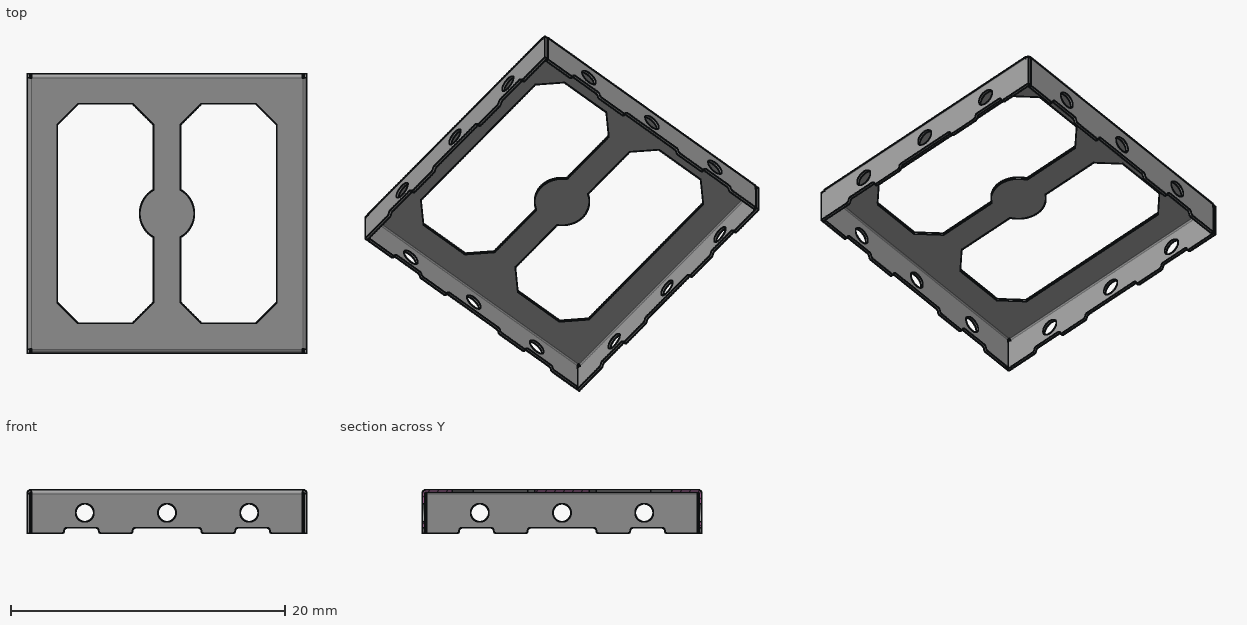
import cadquery as cq

side = 20.4
height = 3.2
sheet = 0.2
bend_radius = 0.3

window_reach = 8.0
window_chamfer = 1.5
bar_width = 2.0
disc_diameter = 4.0

hole_diameter = 1.3
hole_pitch = 6.0
hole_height = 1.5
middle_notch_width = 5.0
side_notch_width = 2.5
foot_width = 2.49
notch_round = 0.2

half = side / 2
fold_start = half - bend_radius
fold_bottom = height - bend_radius
inner_radius = bend_radius - sheet
notch_depth = 2 * notch_round


def top_plate():
    """Flat square plate with two chamfered windows and a central pad."""
    underside = height - sheet
    base = cq.Workplane("XY").workplane(offset=underside)
    plate = base.rect(2 * fold_start, 2 * fold_start).extrude(sheet)
    window_width = window_reach - bar_width / 2
    window_centre = (window_reach + bar_width / 2) / 2
    windows = (
        base.pushPoints([(-window_centre, 0), (window_centre, 0)])
        .rect(window_width, 2 * window_reach)
        .extrude(sheet)
        .edges("|Z")
        .chamfer(window_chamfer)
    )
    pad = base.circle(disc_diameter / 2).extrude(sheet)
    return plate.cut(windows).union(pad)


def fold():
    """Quarter-round fold along the -Y edge of the plate."""
    axis = (-fold_start, fold_bottom)
    section = cq.Workplane("YZ").center(*axis)
    tube = section.circle(bend_radius).circle(inner_radius).extrude(fold_start, both=True)
    quadrant = section.rect(-bend_radius, bend_radius, centered=False).extrude(fold_start, both=True)
    return tube.intersect(quadrant)


def notch(centre, width):
    """Cutter for a bottom notch: each end is an S-curve of two quarter arcs."""
    left = centre - width / 2
    right = centre + width / 2
    r = notch_round
    return (
        cq.Workplane("XZ", origin=(0, -half, 0))
        .moveTo(left - r, 0)
        .radiusArc((left, r), -r)
        .radiusArc((left + r, notch_depth), r)
        .lineTo(right - r, notch_depth)
        .radiusArc((right, notch_depth - r), r)
        .radiusArc((right + r, 0), -r)
        .close()
        .extrude(-sheet)
    )


def flange(length):
    """Upright wall on the -Y side with three holes and three bottom notches."""
    wall = cq.Workplane("XY", origin=(0, -half, 0))
    wall = wall.box(length, sheet, fold_bottom, centered=(True, False, False))
    holes = (
        cq.Workplane("XZ", origin=(0, -half, hole_height))
        .pushPoints([(-hole_pitch, 0), (0, 0), (hole_pitch, 0)])
        .circle(hole_diameter / 2)
        .extrude(-sheet)
    )
    wall = wall.cut(holes).cut(notch(0, middle_notch_width))
    side_notch_centre = middle_notch_width / 2 + foot_width + side_notch_width / 2
    for direction in (-1, 1):
        wall = wall.cut(notch(direction * side_notch_centre, side_notch_width))
    return wall


result = top_plate()
for angle, flange_length in ((0, 2 * fold_start), (90, side), (180, 2 * fold_start), (270, side)):
    folded_side = fold().union(flange(flange_length))
    result = result.union(folded_side.rotate((0, 0, 0), (0, 0, 1), angle))